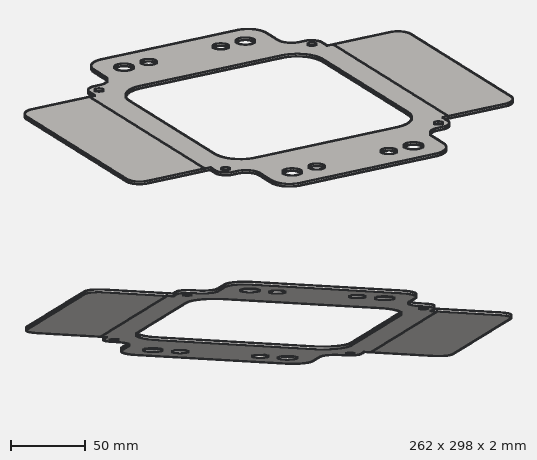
import cadquery as cq

length = 298.0
width = 262.0
thickness = 2.0

wing_span_y = 133.5
wing_corner_radius = 14.0
ear_span_x = 182.0
ear_span_y = 180.0
ear_corner_radius = 8.0
inner_fillet_radius = 10.7

window_length_y = 150.0
window_corner_radius = 20.0

tab_width = 152.0
tab_corner_radius = 10.0
joint_span_y = 189.0
tab_length = (length - joint_span_y) / 2

ear_hole_diameter = 6.0
ear_hole_x = 83.5
ear_hole_y = 82.5
wing_hole_x = 111.0
outer_wing_hole_diameter = 13.0
outer_wing_hole_y = 47.0
inner_wing_hole_diameter = 11.0
inner_wing_hole_y = 28.0


def centred_plate(size_x, size_y):
    """Plain rectangular plate centred in X and Y, resting on Z = 0."""
    return cq.Workplane("XY").box(size_x, size_y, thickness, centered=(True, True, False))


def four_holes(x, y, diameter):
    """Cutters for four through holes placed symmetrically about both centre lines."""
    corners = [(x, y), (-x, y), (-x, -y), (x, -y)]
    return cq.Workplane("XY").pushPoints(corners).circle(diameter / 2).extrude(thickness)


def rounded_corners(plate, x, y, radius):
    """Round the four upright edges of the plate that stand at (+-x, +-y)."""
    margin = 0.3
    for side_x in (-1, 1):
        for side_y in (-1, 1):
            low_corner = (side_x * x - margin, side_y * y - margin, -margin)
            high_corner = (side_x * x + margin, side_y * y + margin, thickness + margin)
            corner = cq.selectors.BoxSelector(low_corner, high_corner)
            plate = plate.edges("|Z").edges(corner).fillet(radius)
    return plate


def make_frame():
    """Cross-shaped plate with side wings, corner ears, necks for the tabs and a window."""
    wings = centred_plate(width, wing_span_y)
    ears = centred_plate(ear_span_x, ear_span_y)
    necks = centred_plate(tab_width, joint_span_y)
    frame = wings.union(ears).union(necks)

    frame = rounded_corners(frame, width / 2, wing_span_y / 2, wing_corner_radius)
    frame = rounded_corners(frame, ear_span_x / 2, ear_span_y / 2, ear_corner_radius)
    frame = rounded_corners(frame, ear_span_x / 2, wing_span_y / 2, inner_fillet_radius)

    window = centred_plate(tab_width, window_length_y).edges("|Z").fillet(window_corner_radius)
    frame = frame.cut(window)
    frame = frame.cut(four_holes(ear_hole_x, ear_hole_y, ear_hole_diameter))
    frame = frame.cut(four_holes(wing_hole_x, outer_wing_hole_y, outer_wing_hole_diameter))
    return frame.cut(four_holes(wing_hole_x, inner_wing_hole_y, inner_wing_hole_diameter))


def make_tab(side):
    """Tab at the +Y (side = 1) or -Y (side = -1) end, with its outer corners rounded."""
    outer_face = ">Y" if side > 0 else "<Y"
    tab = centred_plate(tab_width, tab_length).faces(outer_face).edges("|Z").fillet(tab_corner_radius)
    return tab.translate((0, side * (joint_span_y + tab_length) / 2, 0))


frame = make_frame()
tabs = [make_tab(side) for side in (-1, 1)]

result = cq.Compound.makeCompound([frame.val(), *[tab.val() for tab in tabs]])